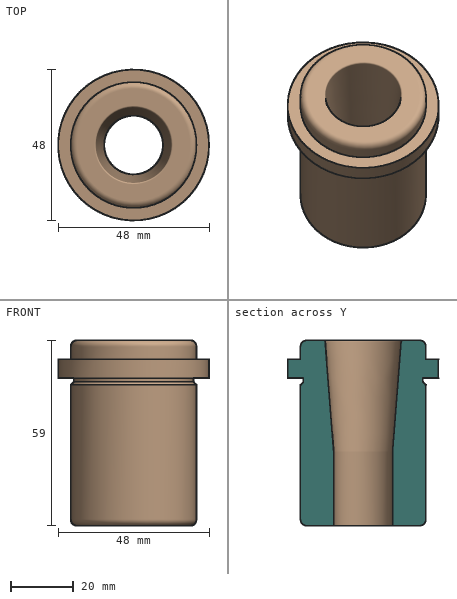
import cadquery as cq

total_height = 59.0
body_diameter = 40.0
flange_diameter = 48.0
collar_height = 6.0
flange_thickness = 6.0

groove_diameter = 38.2
groove_height = 1.25
groove_chamfer = (body_diameter - groove_diameter) / 2

rim_radius = 2.0

bore_top_diameter = 24.0
bore_bottom_diameter = 18.6
taper_length = 35.4
mouth_round = 0.5

body_radius = body_diameter / 2
flange_radius = flange_diameter / 2
groove_radius = groove_diameter / 2
flange_top = total_height - collar_height
flange_bottom = flange_top - flange_thickness
groove_bottom = flange_bottom - groove_height
taper_start = total_height - taper_length


def outer_body():
    """Revolve the half outline: body, groove, flange and collar."""
    return (
        cq.Workplane("XZ")
        .lineTo(body_radius, 0)
        .lineTo(body_radius, groove_bottom - groove_chamfer)
        .lineTo(groove_radius, groove_bottom)
        .lineTo(groove_radius, flange_bottom)
        .lineTo(flange_radius, flange_bottom)
        .lineTo(flange_radius, flange_top)
        .lineTo(body_radius, flange_top)
        .lineTo(body_radius, total_height)
        .lineTo(0, total_height)
        .close()
        .revolve(360, (0, 0, 0), (0, 1, 0))
        .faces("<Z or >Z")
        .edges()
        .fillet(rim_radius)
    )


def bore():
    """Revolve the straight and tapered bore with its rounded mouth."""
    bottom_radius = bore_bottom_diameter / 2
    top_radius = bore_top_diameter / 2
    return (
        cq.Workplane("XZ")
        .lineTo(bottom_radius, 0)
        .lineTo(bottom_radius, taper_start)
        .lineTo(top_radius, total_height - mouth_round)
        .radiusArc((top_radius + mouth_round, total_height), mouth_round)
        .lineTo(0, total_height)
        .close()
        .revolve(360, (0, 0, 0), (0, 1, 0))
    )


result = outer_body().cut(bore())